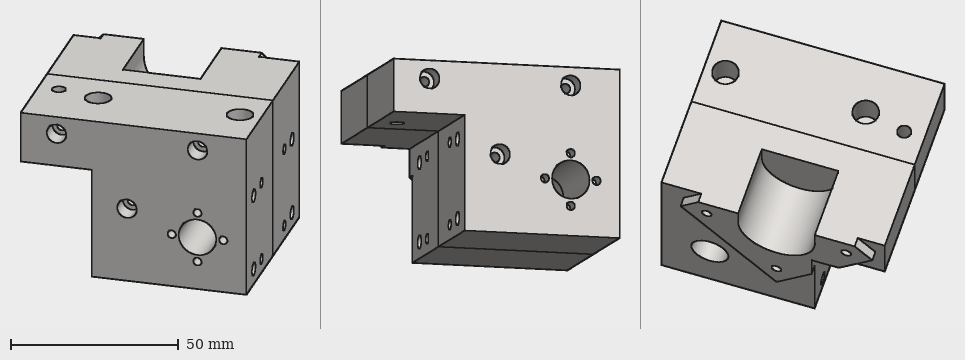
import cadquery as cq

length = 70.0
height = 51.0
half_depth = 29.0
arm_length = 22.0
arm_underside = 35.0

hub_x = 33.0
hub_z = 45.5
screw_radius = 21.85
screw_hole_d = 3.0
counterbore_d = 6.0
counterbore_depth = 6.0

pad_half_diagonal = 30.0
pad_height = 3.0
trough_width = 24.0
trough_length = 22.95

bore_d = 11.6
bore_x = hub_x + screw_radius
bore_z = 17.0
ring_radius = 8.0
ring_hole_d = 2.5
ring_hole_depth = 5.0

socket_d = 8.0
socket_depth = 10.0
socket_y = 16.45
socket_xs = (19.4, 63.35)
arm_hole_d = 4.2
arm_hole_x = 6.45
arm_hole_y = 19.25

cross_z = 17.0
large_cross_d = 4.0
large_cross_spacing_y = 42.0
large_cross_spacing_z = 24.0
small_cross_d = 3.0
small_cross_spacing = 25.0

rear_face = 2 * half_depth
total_depth = rear_face + pad_height


def block(y_start, depth):
    """L-shaped block with its arm at the top, running along +Y."""
    outline = [
        (0, height),
        (length, height),
        (length, 0),
        (arm_length, 0),
        (arm_length, arm_underside),
        (0, arm_underside),
    ]
    return cq.Workplane("XZ", origin=(0, y_start, 0)).polyline(outline).close().extrude(-depth)


def y_holes(points, diameter, depth):
    """Cylinders entering the front face at (x, z) points."""
    return cq.Workplane("XZ").pushPoints(points).circle(diameter / 2).extrude(-depth)


def z_holes(points, diameter, depth):
    """Cylinders entering the top face at (x, y) points."""
    top = cq.Workplane("XY", origin=(0, 0, height))
    return top.pushPoints(points).circle(diameter / 2).extrude(-depth)


def cross_holes(diameter, spacing_y, spacing_z):
    """Four cylinders through the whole length, in a rectangular pattern."""
    middle = cq.Workplane("YZ", origin=(0, half_depth, cross_z))
    return middle.rarray(spacing_y, spacing_z, 2, 2).circle(diameter / 2).extrude(length)


def diamond_pad():
    """Diamond pad on the rear face, trimmed to the block outline."""
    diamond = (
        cq.Workplane("XZ", origin=(hub_x, rear_face, hub_z))
        .polyline([
            (-pad_half_diagonal, 0),
            (0, pad_half_diagonal),
            (pad_half_diagonal, 0),
            (0, -pad_half_diagonal),
        ])
        .close()
        .extrude(-pad_height)
    )
    return diamond.intersect(block(rear_face, pad_height))


def trough():
    """Round-bottomed cut around the hub axis, open at the top and rear."""
    radius = trough_width / 2
    wall = height - hub_z
    return (
        cq.Workplane("XZ", origin=(hub_x, total_depth, hub_z))
        .moveTo(-radius, wall)
        .lineTo(-radius, 0)
        .threePointArc((0, -radius), (radius, 0))
        .lineTo(radius, wall)
        .close()
        .extrude(trough_length)
    )


def cut_shared_holes(body):
    """Screw holes, bore and cross holes that run through both blocks."""
    body = body.cut(y_holes(screw_points, screw_hole_d, total_depth))
    body = body.cut(y_holes([(bore_x, bore_z)], bore_d, total_depth))
    body = body.cut(cross_holes(large_cross_d, large_cross_spacing_y, large_cross_spacing_z))
    return body.cut(cross_holes(small_cross_d, small_cross_spacing, small_cross_spacing))


def make_front_block():
    body = cut_shared_holes(block(0, half_depth))
    body = body.cut(y_holes(screw_points, counterbore_d, counterbore_depth))
    body = body.cut(y_holes(ring_points, ring_hole_d, ring_hole_depth))
    body = body.cut(z_holes([(x, socket_y) for x in socket_xs], socket_d, socket_depth))
    return body.cut(z_holes([(arm_hole_x, arm_hole_y)], arm_hole_d, height))


def make_rear_block():
    body = block(half_depth, half_depth).union(diamond_pad())
    return cut_shared_holes(body.cut(trough()))


screw_points = [
    (hub_x - screw_radius, hub_z),
    (hub_x + screw_radius, hub_z),
    (hub_x, hub_z - screw_radius),
]
ring_points = [
    (bore_x - ring_radius, bore_z),
    (bore_x + ring_radius, bore_z),
    (bore_x, bore_z - ring_radius),
    (bore_x, bore_z + ring_radius),
]

front_block = make_front_block().solids()
rear_block = make_rear_block().solids()
result = cq.Compound.makeCompound([front_block.val(), rear_block.val()])